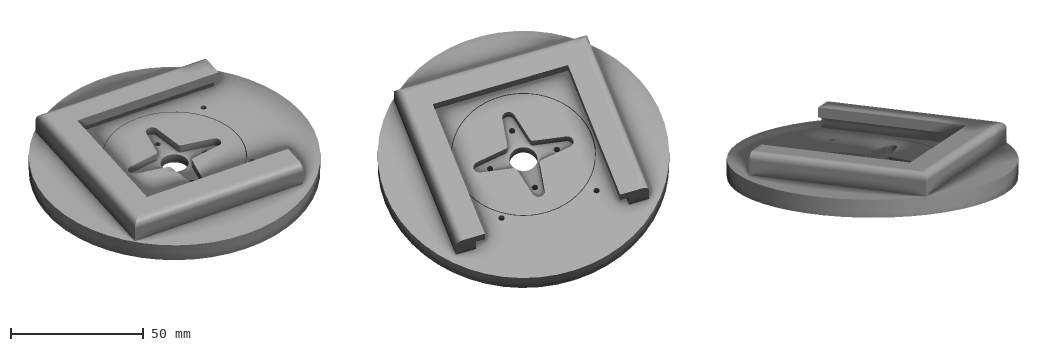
import cadquery as cq
import math

base_diameter = 110.0
base_thickness = 7.0
total_height = 16.0

rail_half_width = 38.5
rail_front_y = -rail_half_width
rail_back_y = 34.0
rail_top_width = 11.5
lip_overhang = 3.5
lip_thickness = 4.0
rail_edge_radius = 3.0

disc_diameter = 54.0
groove_width = 0.3
groove_depth = 3.3

arm_reach = 19.8
arm_tip_radius = 2.4
arm_taper_deg = 10.0
star_corner_radius = 1.1
star_depth = 3.3

center_hole_diameter = 10.6
pin_hole_diameter = 2.4
arm_hole_distance = 13.3
back_hole_left_x = -20.9
back_hole_right_x = 16.9
back_hole_y = 24.1


def make_rail():
    """Three-sided rail with an undercut lip and rounded outer top edges."""
    length = rail_back_y - rail_front_y
    height = total_height - base_thickness

    def opening(wall, opening_height):
        return (
            cq.Workplane("XY", origin=(0, rail_front_y + wall, base_thickness))
            .box(2 * (rail_half_width - wall), length, opening_height, centered=(True, False, False))
        )

    block = (
        cq.Workplane("XY", origin=(0, rail_front_y, base_thickness))
        .box(2 * rail_half_width, length, height, centered=(True, False, False))
    )
    block = block.faces(">Z").edges("<X or >X or <Y").fillet(rail_edge_radius)
    upper = opening(rail_top_width, height)
    lower = opening(rail_top_width - lip_overhang, height - lip_thickness)
    return block.cut(upper).cut(lower)


def make_star():
    """Star pocket: four tapered arms with round tips, their sides meeting on the diagonals."""
    taper = math.radians(arm_taper_deg)
    tip_center = arm_reach - arm_tip_radius
    tangent_x = arm_tip_radius * math.cos(taper)
    tangent_y = tip_center + arm_tip_radius * math.sin(taper)
    corner = (arm_tip_radius + tip_center * math.sin(taper)) / (math.cos(taper) + math.sin(taper))

    floor = cq.Workplane("XY", origin=(0, 0, base_thickness - star_depth))
    arm = (
        floor.moveTo(0, 0)
        .lineTo(corner, corner)
        .lineTo(tangent_x, tangent_y)
        .threePointArc((0, arm_reach), (-tangent_x, tangent_y))
        .lineTo(-corner, corner)
        .close()
        .extrude(star_depth)
    )
    star = arm
    for angle in (90, 180, 270):
        star = star.union(arm.rotate((0, 0, 0), (0, 0, 1), angle))
    star = star.clean()
    inner_edges = cq.selectors.BoxSelector(
        (-corner - 0.1, -corner - 0.1, 0),
        (corner + 0.1, corner + 0.1, base_thickness),
    )
    return star.edges("|Z").edges(inner_edges).fillet(star_corner_radius)


def make_groove():
    return (
        cq.Workplane("XY", origin=(0, 0, base_thickness - groove_depth))
        .circle(disc_diameter / 2 + groove_width)
        .circle(disc_diameter / 2)
        .extrude(groove_depth)
    )


def make_holes():
    pin_positions = [
        (arm_hole_distance, 0),
        (-arm_hole_distance, 0),
        (0, arm_hole_distance),
        (0, -arm_hole_distance),
        (back_hole_right_x, back_hole_y),
        (back_hole_left_x, back_hole_y),
    ]
    pins = (
        cq.Workplane("XY")
        .pushPoints(pin_positions)
        .circle(pin_hole_diameter / 2)
        .extrude(base_thickness)
    )
    center = cq.Workplane("XY").circle(center_hole_diameter / 2).extrude(base_thickness)
    return pins.union(center)


base = cq.Workplane("XY").circle(base_diameter / 2).extrude(base_thickness)
base = base.cut(make_groove()).cut(make_star()).cut(make_holes())
result = base.union(make_rail())